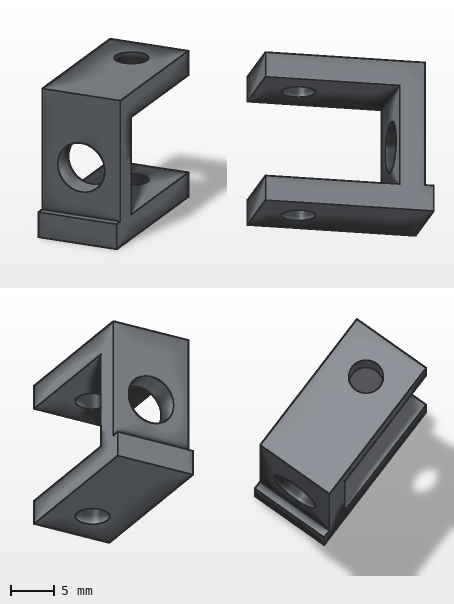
import cadquery as cq

width = 10.0
length = 20.0
height = 18.0

wall = 3.0
lip_depth = 1.05
lip_height = 3.1

arm_hole_diameter = 4.0
arm_hole_from_end = 5.0
web_hole_diameter = 6.0

web_front = lip_depth
web_back = web_front + wall


def make_bracket():
    """Side profile in the YZ plane, extruded across the width."""
    profile = [
        (0, 0),
        (length, 0),
        (length, wall),
        (web_back, wall),
        (web_back, height - wall),
        (length, height - wall),
        (length, height),
        (web_front, height),
        (web_front, lip_height),
        (0, lip_height),
    ]
    return cq.Workplane("YZ").polyline(profile).close().extrude(width / 2, both=True)


def make_arm_hole():
    """Vertical hole through both arms."""
    return (
        cq.Workplane("XY")
        .center(0, length - arm_hole_from_end)
        .circle(arm_hole_diameter / 2)
        .extrude(height)
    )


def make_web_hole():
    """Hole through the web, centred between the arms."""
    return (
        cq.Workplane("XZ")
        .center(0, height / 2)
        .circle(web_hole_diameter / 2)
        .extrude(-web_back)
    )


result = make_bracket().cut(make_arm_hole()).cut(make_web_hole())